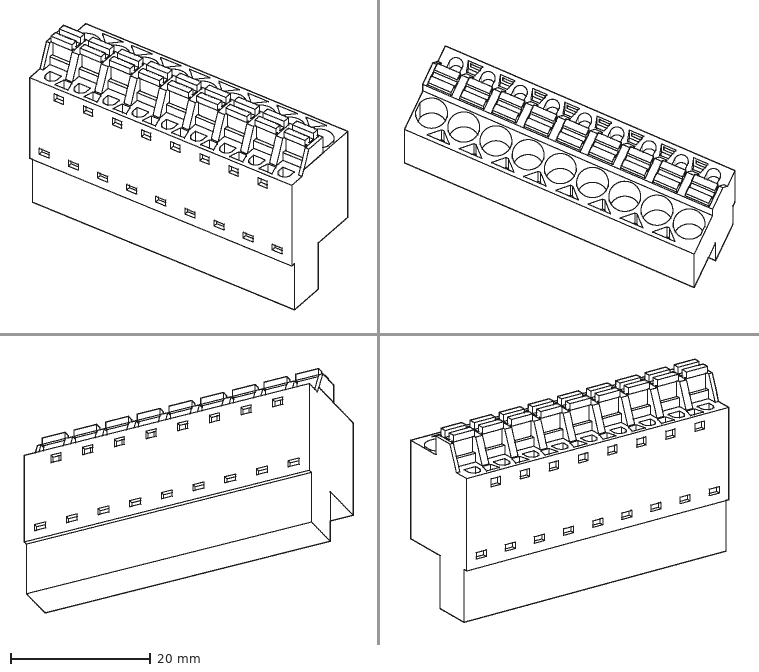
import cadquery as cq


pole_count = 9
pitch = 5.07
body_length = pole_count * pitch
overall_length = 45.7
pole_centers = [(i + 0.5) * pitch for i in range(pole_count)]
pole_boundaries = [i * pitch for i in range(1, pole_count)]

body_depth = 14.2
body_bottom = 8.28
shelf_height = 22.7
deck_height = 23.7
wall_top = 26.6
slope_foot_y = 2.6
slope_top_y = 4.25
wall_back_y = 7.8
plug_front_y = 0.7
plug_back_y = 6.75

pocket_width = 3.9
pocket_back_y = 7.6
ledge_height = 24.1

lever_width = 3.65
lever_face_y = 4.85
lever_front_y = 4.4
lever_body_top = 26.7
lever_top = 27.75
lever_rib_depth = 1.1

entry_radius = 2.3
entry_center_y = 10.4
entry_depth = 6.85
end_margin = 0.35
wedge_back_y = 13.62
wedge_front_y = 12.05
wedge_back_half = 1.8
wedge_front_half = 0.2
wedge_depth = 4.55

probe_half_width = 1.0
probe_back_y = 2.9
probe_center_y = 1.9
probe_depth = 3.65
well_front_y = 0.7
well_back_y = 2.35
well_front_half = 1.15
well_back_half = 0.7
well_depth = 3.65

window_depth = well_front_y
upper_window_width = 1.6
upper_window_bottom = 20.4
upper_window_top = 21.63
lower_window_width = 1.75
lower_window_bottom = 9.75
lower_window_top = 10.75

latch_width = 4.55
latch_root_back_y = 10.05
latch_root_front_y = 8.15
latch_back_middle = (9.7, 6.5)
latch_back_end = (9.2, 4.9)
latch_tip = (8.28, 3.9)
latch_barb = (7.85, 4.85)
latch_stem_front_y = 8.35
latch_stem_bottom = 5.35
latch_stem_top = 7.5
latch_root_bottom = 7.95


def box(x_range, y_range, z_range):
    """Rectangular block spanning the given ranges."""
    (x0, x1), (y0, y1), (z0, z1) = x_range, y_range, z_range
    return cq.Workplane("XY").box(x1 - x0, y1 - y0, z1 - z0, centered=False).translate((x0, y0, z0))


def centered_range(center, width):
    return (center - width / 2, center + width / 2)


def extrude_along_row(points, length):
    """Prism along X from a closed outline of (y, z) points."""
    return cq.Workplane("YZ").polyline(points).close().extrude(length)


def trapezoid_well(center_x, front_y, front_half, back_y, back_half, top, depth):
    """Vertical well with a symmetric trapezoid outline, cut down from the height `top`."""
    outline = [
        (center_x - front_half, front_y),
        (center_x + front_half, front_y),
        (center_x + back_half, back_y),
        (center_x - back_half, back_y),
    ]
    return cq.Workplane("XY", origin=(0, 0, top)).polyline(outline).close().extrude(-depth)


def housing_block():
    block = extrude_along_row(
        [
            (plug_front_y, 0),
            (plug_back_y, 0),
            (plug_back_y, body_bottom),
            (body_depth, body_bottom),
            (body_depth, deck_height),
            (wall_back_y, deck_height),
            (wall_back_y, wall_top),
            (slope_top_y, wall_top),
            (slope_foot_y, shelf_height),
            (0, shelf_height),
            (0, body_bottom),
            (plug_front_y, body_bottom),
        ],
        body_length,
    )
    slope_run = (slope_top_y - slope_foot_y) / (wall_top - shelf_height)
    slope_deck_y = slope_foot_y + slope_run * (deck_height - shelf_height)
    lever_walls = extrude_along_row(
        [
            (slope_deck_y, deck_height),
            (wall_back_y, deck_height),
            (wall_back_y, wall_top),
            (slope_top_y, wall_top),
        ],
        overall_length,
    )
    return block.union(lever_walls)


def lever_pocket(center_x):
    """Stepped pocket open to the front: shelf level in front, ledge level under the lever."""
    x_range = centered_range(center_x, pocket_width)
    front = box(x_range, (0, slope_top_y), (shelf_height, lever_top))
    back = box(x_range, (slope_top_y, pocket_back_y), (ledge_height, lever_top))
    return front.union(back)


def wire_entry(center_x):
    """Round well, cut flat where it would come too close to an end of the housing."""
    bottom = deck_height - entry_depth
    well = (
        cq.Workplane("XY", origin=(center_x, entry_center_y, bottom))
        .circle(entry_radius)
        .extrude(entry_depth)
    )
    limits = box((end_margin, body_length - end_margin), (wall_back_y, body_depth), (bottom, deck_height))
    return well.intersect(limits)


def probe_well(center_x):
    """D-shaped well: flat at the back, round at the front."""
    return (
        cq.Workplane("XY", origin=(center_x, 0, shelf_height))
        .moveTo(-probe_half_width, probe_back_y)
        .lineTo(-probe_half_width, probe_center_y)
        .threePointArc((0, probe_center_y - probe_half_width), (probe_half_width, probe_center_y))
        .lineTo(probe_half_width, probe_back_y)
        .close()
        .extrude(-probe_depth)
    )


def window(center_x, width, bottom, top):
    return box(centered_range(center_x, width), (0, window_depth), (bottom, top))


def latch():
    """Curved hook hanging from the underside, at mid-length."""
    start_x = (body_length - latch_width) / 2
    return (
        cq.Workplane("YZ", origin=(start_x, 0, 0))
        .moveTo(latch_root_back_y, body_bottom)
        .threePointArc(latch_back_middle, latch_back_end)
        .lineTo(*latch_tip)
        .lineTo(*latch_barb)
        .lineTo(latch_stem_front_y, latch_stem_bottom)
        .lineTo(latch_stem_front_y, latch_stem_top)
        .lineTo(latch_root_front_y, latch_root_bottom)
        .lineTo(latch_root_front_y, body_bottom)
        .close()
        .extrude(latch_width)
    )


def make_housing():
    housing = housing_block().union(latch())
    for x in pole_centers:
        housing = housing.cut(lever_pocket(x))
        housing = housing.cut(wire_entry(x))
        housing = housing.cut(probe_well(x))
        housing = housing.cut(window(x, lower_window_width, lower_window_bottom, lower_window_top))
    for x in pole_boundaries:
        wedge = trapezoid_well(
            x, wedge_front_y, wedge_front_half, wedge_back_y, wedge_back_half, deck_height, wedge_depth
        )
        well = trapezoid_well(
            x, well_front_y, well_front_half, well_back_y, well_back_half, shelf_height, well_depth
        )
        housing = housing.cut(wedge).cut(well)
        housing = housing.cut(window(x, upper_window_width, upper_window_bottom, upper_window_top))
    return housing


def make_lever(center_x):
    """Push lever: a block on the pocket ledge with two ribs across its top."""
    outline = [
        (lever_face_y, ledge_height),
        (pocket_back_y, ledge_height),
        (pocket_back_y, lever_top),
        (pocket_back_y - lever_rib_depth, lever_top),
        (pocket_back_y - lever_rib_depth, lever_body_top),
        (lever_front_y + lever_rib_depth, lever_body_top),
        (lever_front_y + lever_rib_depth, lever_top),
        (lever_front_y, lever_top),
        (lever_front_y, lever_body_top),
        (lever_face_y, lever_body_top),
    ]
    return extrude_along_row(outline, lever_width).translate((center_x - lever_width / 2, 0, 0))


housing = make_housing()
levers = [make_lever(x) for x in pole_centers]

result = cq.Compound.makeCompound([housing.val(), *[lever.val() for lever in levers]])